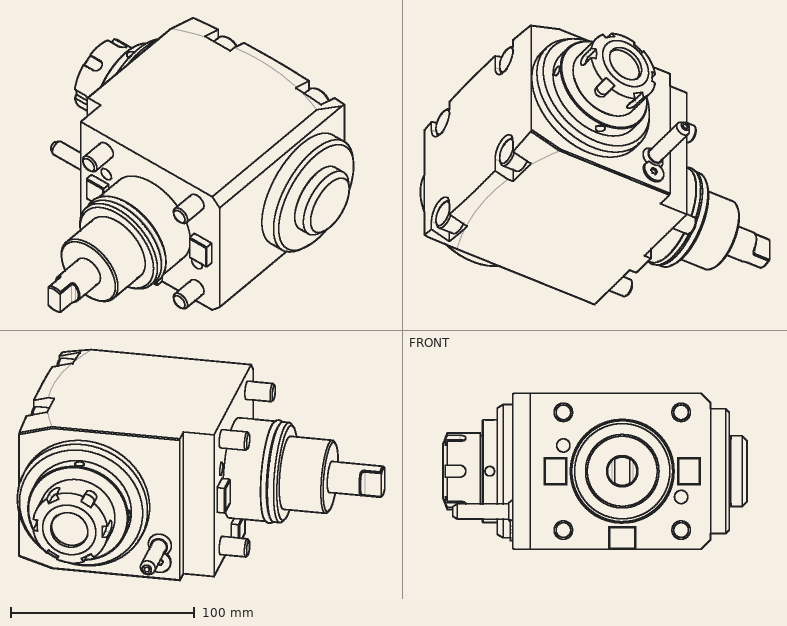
import cadquery as cq
import math


BLOCK_LEFT = -59.6
BLOCK_RIGHT = 48.0
BLOCK_DEPTH = 106.5
BLOCK_HEIGHT = 85.0
HALF_HEIGHT = BLOCK_HEIGHT / 2
STEP_LEFT = -50.0
STEP_DEPTH = 17.0
RIGHT_CHAMFER = 5.2
LEFT_CHAMFER = 0.7

CROWN_RADIUS = 420.0
CROWN_ANGLE = 16.5
CROWN_INSET = 7.0
CROWN_CENTRE_X = -7.0
CROWN_TOOL_LENGTH = 100.0
CROWN_TOOL_WALL = 40.0

SCREW_PITCH = 64.0
SCREW_DIAMETER = 10.0
SCREW_PROJECTION = 15.0
SCREW_HEAD_DIAMETER = 16.0
SCREW_HEAD_HEIGHT = 10.0
SCREW_CHAMFER = 1.0
NOTCH_WIDTH = 18.0
NOTCH_DEPTH = 11.6

KEY_WIDTH = 14.8
KEY_LENGTH = 12.2
KEY_PROJECTION = 4.6
KEY_CHAMFER = 0.5
SIDE_KEY_INNER = 30.2
PIN_HOLE_DIAMETER = 7.2
PIN_HOLE_DEPTH = 10.0
PIN_HOLE_X = 32.0
PIN_HOLE_Z = 14.0
DRILL_POINT_ANGLE = 118.0

SHANK_RADIUS = 27.4
ORING_CENTRE = 22.2
ORING_SECTION_RADIUS = 1.4
ORING_OUTER_RADIUS = 28.2
GROOVE_START = ORING_CENTRE - ORING_SECTION_RADIUS
GROOVE_END = 24.7
GROOVE_RADIUS = 25.2
COLLAR_END = 29.6
COLLAR_CHAMFER = 1.5
NOSE_RADIUS = 20.0
NOSE_END = 53.8
NOSE_CHAMFER = 1.0
DRIVE_RADIUS = 8.5
DRIVE_END = 83.0
DRIVE_CHAMFER = 0.8
TANG_START = 72.0
TANG_THICKNESS = 8.4
TANG_ROOT_FILLET = 1.6
TANG_CHAMFER = 0.5

SPINDLE_Y = 70.0
FLANGE_RADIUS = 36.3
FLANGE_LEFT = -68.0
FLANGE_CHAMFER_LENGTH = 3.3
FLANGE_CHAMFER_HEIGHT = 2.0
RING_RADIUS = 28.0
RING_LEFT = -76.0
RING_CHAMFER = 0.5
RING_HOLE_X = -72.0
RING_HOLE_DIAMETER = 5.2
RING_HOLE_DEPTH = 3.5
RING_HOLE_COUNT = 4
CAP_RADIUS = 34.0
CAP_RIGHT = 58.2
CAP_CHAMFER = 2.0
KNOB_RADIUS = 19.3
KNOB_LEFT = 59.0
KNOB_RIGHT = 67.9
KNOB_CHAMFER = 2.8
KNOB_NECK_RADIUS = 17.5

NUT_RADIUS = 20.9
NUT_LEFT = -97.5
NUT_RIGHT = -77.1
NUT_NECK_RADIUS = 19.5
NUT_CONE_LENGTH = 2.4
NUT_FACE_RADIUS = 14.8
NUT_BORE_RADIUS = 10.3
NUT_BORE_DEPTH = 2.5
NUT_SLOT_COUNT = 6
NUT_SLOT_WIDTH = 6.4
NUT_SLOT_END = -85.0
NUT_SLOT_FLOOR = 18.0

NOZZLE_Y = 28.0
NOZZLE_Z = -21.9
NOZZLE_RADIUS = 4.1
NOZZLE_TIP = -92.2
NOZZLE_TIP_CHAMFER = 2.4
NOZZLE_TIP_RADIUS = 2.6
NOZZLE_BORE_RADIUS = 1.4
NOZZLE_BORE_DEPTH = 10.0
NOZZLE_COLLAR_RADIUS = 6.4
NOZZLE_COLLAR_LENGTH = 2.2
NOZZLE_COLLAR_TIP_RADIUS = 4.6
PLUG_Z = -31.7
PLUG_RADIUS = 6.2
PLUG_PROJECTION = 1.2
PLUG_HEX = 4.0
PLUG_HEX_DEPTH = 1.0


def turned_about_x(profile, y=0.0, z=0.0):
    """Revolve (x, radius) points about the line parallel to X through (y, z)."""
    outline = cq.Workplane("XY").polyline(profile).close()
    return outline.revolve(360, (0, 0, 0), (1, 0, 0)).translate((0, y, z))


def turned_about_shank(profile):
    """Revolve (radius, distance in front of the mounting face) points about the shank axis."""
    points = [(radius, -distance) for radius, distance in profile]
    return cq.Workplane("XY").polyline(points).close().revolve(360, (0, 0, 0), (0, 1, 0))


def drilled_hole(start, direction, diameter, depth):
    """Blind hole tool with a conical drill point."""
    radius = diameter / 2
    point_length = radius / math.tan(math.radians(DRILL_POINT_ANGLE / 2))
    plane = cq.Plane(origin=(0, 0, 0), xDir=(1, 0, 0), normal=(0, -1, 0))
    profile = [(0, 0), (radius, 0), (radius, -depth), (0, -depth - point_length)]
    tool = cq.Workplane(plane).polyline(profile).close().revolve(360, (0, 0, 0), (0, 1, 0))
    frame = cq.Plane(origin=start, normal=tuple(-part for part in direction))
    return cq.Workplane(obj=tool.val().moved(cq.Location(frame)))


def block():
    """Stepped block with bevelled right edges."""
    outline = [
        (STEP_LEFT, 0),
        (BLOCK_RIGHT, 0),
        (BLOCK_RIGHT, BLOCK_DEPTH),
        (BLOCK_LEFT, BLOCK_DEPTH),
        (BLOCK_LEFT, STEP_DEPTH),
        (STEP_LEFT, STEP_DEPTH),
    ]
    body = cq.Workplane("XY").polyline(outline).close().extrude(HALF_HEIGHT, both=True)
    return body.faces(">X").edges("|Y").chamfer(RIGHT_CHAMFER)


def crown_cutter():
    """Tube whose tilted inner wall cuts the crowned bevel on the rear top edge."""
    slope = math.radians(CROWN_ANGLE)
    axis = (0, math.cos(slope), -math.sin(slope))
    up = (0, math.sin(slope), math.cos(slope))
    apex = (CROWN_CENTRE_X, BLOCK_DEPTH - CROWN_INSET, HALF_HEIGHT)
    centre = tuple(a - CROWN_RADIUS * u for a, u in zip(apex, up))
    plane = cq.Plane(origin=centre, xDir=(1, 0, 0), normal=axis)
    tube = cq.Workplane(plane).circle(CROWN_RADIUS + CROWN_TOOL_WALL).circle(CROWN_RADIUS)
    tube = tube.extrude(CROWN_TOOL_LENGTH / 2, both=True)
    upper_half = cq.Workplane("XY").box(
        2 * BLOCK_DEPTH, 2 * BLOCK_DEPTH, BLOCK_HEIGHT, centered=(True, True, False)
    )
    return tube.intersect(upper_half)


def cut_crowns(body):
    """Crown both rear edges, then bevel the top and bottom edges of the left face."""
    upper = crown_cutter()
    body = body.cut(upper).cut(upper.mirror("XY"))
    return body.faces("<X").edges("not |Z").chamfer(LEFT_CHAMFER)


def add_mounting_screws(body):
    """Four cap screws: heads in open rear notches, threaded ends past the mounting face."""
    seat_y = BLOCK_DEPTH - NOTCH_DEPTH
    half_pitch = SCREW_PITCH / 2
    for x in (-half_pitch, half_pitch):
        for side in (-1, 1):
            z = side * half_pitch
            back = cq.Workplane("XZ", origin=(x, seat_y, z))
            round_end = back.circle(NOTCH_WIDTH / 2).extrude(-NOTCH_DEPTH)
            open_end = back.center(0, side * NOTCH_WIDTH / 2).rect(NOTCH_WIDTH, NOTCH_WIDTH)
            open_end = open_end.extrude(-NOTCH_DEPTH)
            head = back.circle(SCREW_HEAD_DIAMETER / 2).extrude(-SCREW_HEAD_HEIGHT)
            head = head.faces(">Y").chamfer(SCREW_CHAMFER)
            front = cq.Workplane("XZ", origin=(x, 0, z))
            stem = front.circle(SCREW_DIAMETER / 2).extrude(SCREW_PROJECTION)
            stem = stem.faces("<Y").chamfer(SCREW_CHAMFER)
            body = body.cut(round_end).cut(open_end)
            body = body.union(head).union(stem)
    return body


def add_keys(body):
    """Three locating keys: left, right and at the bottom edge."""
    side_x = SIDE_KEY_INNER + KEY_LENGTH / 2
    bottom_z = KEY_LENGTH / 2 - HALF_HEIGHT
    keys = [
        (-side_x, 0, KEY_LENGTH, KEY_WIDTH),
        (side_x, 0, KEY_LENGTH, KEY_WIDTH),
        (0, bottom_z, KEY_WIDTH, KEY_LENGTH),
    ]
    for x, z, length_x, length_z in keys:
        key = cq.Workplane("XZ", origin=(x, 0, z)).rect(length_x, length_z).extrude(KEY_PROJECTION)
        body = body.union(key.faces("<Y").chamfer(KEY_CHAMFER))
    return body


def cut_pin_holes(body):
    """A drilled hole upper left and a flat-bottomed hole diagonally opposite."""
    drilled = drilled_hole((-PIN_HOLE_X, 0, PIN_HOLE_Z), (0, 1, 0), PIN_HOLE_DIAMETER, PIN_HOLE_DEPTH)
    flat = cq.Workplane("XZ", origin=(PIN_HOLE_X, 0, -PIN_HOLE_Z))
    return body.cut(drilled).cut(flat.circle(PIN_HOLE_DIAMETER / 2).extrude(-PIN_HOLE_DEPTH))


def shank():
    """Stepped shank with a seal ring in its groove and a flat drive tang at the tip."""
    body = turned_about_shank([
        (0, 0),
        (SHANK_RADIUS, 0),
        (SHANK_RADIUS, GROOVE_START),
        (GROOVE_RADIUS, GROOVE_START),
        (GROOVE_RADIUS, GROOVE_END),
        (SHANK_RADIUS, GROOVE_END),
        (SHANK_RADIUS, COLLAR_END - COLLAR_CHAMFER),
        (SHANK_RADIUS - COLLAR_CHAMFER, COLLAR_END),
        (NOSE_RADIUS, COLLAR_END),
        (NOSE_RADIUS, NOSE_END - NOSE_CHAMFER),
        (NOSE_RADIUS - NOSE_CHAMFER, NOSE_END),
        (DRIVE_RADIUS, NOSE_END),
        (DRIVE_RADIUS, DRIVE_END - DRIVE_CHAMFER),
        (DRIVE_RADIUS - DRIVE_CHAMFER, DRIVE_END),
        (0, DRIVE_END),
    ])
    seal_side_radius = ORING_OUTER_RADIUS - ORING_SECTION_RADIUS
    seal_front = -ORING_CENTRE - ORING_SECTION_RADIUS
    seal_back = -ORING_CENTRE + ORING_SECTION_RADIUS
    seal_ring = (
        cq.Workplane("XY")
        .moveTo(GROOVE_RADIUS, seal_front)
        .lineTo(seal_side_radius, seal_front)
        .threePointArc((ORING_OUTER_RADIUS, -ORING_CENTRE), (seal_side_radius, seal_back))
        .lineTo(GROOVE_RADIUS, seal_back)
        .close()
        .revolve(360, (0, 0, 0), (0, 1, 0))
    )
    tang_length = DRIVE_END - TANG_START
    for side in (-1, 1):
        flat_x = side * (TANG_THICKNESS / 2 + DRIVE_RADIUS / 2)
        flat = cq.Workplane("XY").box(DRIVE_RADIUS, tang_length, 2 * DRIVE_RADIUS)
        root = flat.faces(">Y").edges("<X" if side > 0 else ">X")
        flat = root.fillet(TANG_ROOT_FILLET)
        body = body.cut(flat.translate((flat_x, -TANG_START - tang_length / 2, 0)))
    tang_region = cq.selectors.BoxSelector(
        (-DRIVE_RADIUS, -DRIVE_END, -DRIVE_RADIUS), (DRIVE_RADIUS, -TANG_START, DRIVE_RADIUS)
    )
    body = body.edges(tang_region).edges("|Y").chamfer(TANG_CHAMFER)
    return body.union(seal_ring)


def spindle_mount():
    """Flange and ring on the left, with the neck that carries the collet nut."""
    body = turned_about_x([
        (BLOCK_LEFT, 0),
        (BLOCK_LEFT, FLANGE_RADIUS),
        (FLANGE_LEFT + FLANGE_CHAMFER_LENGTH, FLANGE_RADIUS),
        (FLANGE_LEFT, FLANGE_RADIUS - FLANGE_CHAMFER_HEIGHT),
        (FLANGE_LEFT, RING_RADIUS),
        (RING_LEFT + RING_CHAMFER, RING_RADIUS),
        (RING_LEFT, RING_RADIUS - RING_CHAMFER),
        (RING_LEFT, NUT_NECK_RADIUS),
        (NUT_RIGHT, NUT_NECK_RADIUS),
        (NUT_RIGHT, 0),
    ], SPINDLE_Y)
    for index in range(RING_HOLE_COUNT):
        angle = 2 * math.pi * index / RING_HOLE_COUNT
        outward = (0, math.cos(angle), math.sin(angle))
        start = (RING_HOLE_X, SPINDLE_Y + RING_RADIUS * outward[1], RING_RADIUS * outward[2])
        inward = tuple(-part for part in outward)
        body = body.cut(drilled_hole(start, inward, RING_HOLE_DIAMETER, RING_HOLE_DEPTH))
    return body


def rear_cap():
    """Bearing cap and end knob on the right face."""
    return turned_about_x([
        (BLOCK_RIGHT, 0),
        (BLOCK_RIGHT, CAP_RADIUS),
        (CAP_RIGHT - CAP_CHAMFER, CAP_RADIUS),
        (CAP_RIGHT, CAP_RADIUS - CAP_CHAMFER),
        (CAP_RIGHT, KNOB_NECK_RADIUS),
        (KNOB_LEFT, KNOB_NECK_RADIUS),
        (KNOB_LEFT, KNOB_RADIUS),
        (KNOB_RIGHT - KNOB_CHAMFER, KNOB_RADIUS),
        (KNOB_RIGHT, KNOB_RADIUS - KNOB_CHAMFER),
        (KNOB_RIGHT, 0),
    ], SPINDLE_Y)


def coolant_nozzle():
    """Bored nozzle tube with a tapered collar at its root."""
    collar_left = BLOCK_LEFT - NOZZLE_COLLAR_LENGTH
    bore_end = NOZZLE_TIP + NOZZLE_BORE_DEPTH
    return turned_about_x([
        (BLOCK_LEFT, 0),
        (BLOCK_LEFT, NOZZLE_COLLAR_RADIUS),
        (collar_left, NOZZLE_COLLAR_TIP_RADIUS),
        (collar_left, NOZZLE_RADIUS),
        (NOZZLE_TIP + NOZZLE_TIP_CHAMFER, NOZZLE_RADIUS),
        (NOZZLE_TIP, NOZZLE_TIP_RADIUS),
        (NOZZLE_TIP, NOZZLE_BORE_RADIUS),
        (bore_end, NOZZLE_BORE_RADIUS),
        (bore_end, 0),
    ], NOZZLE_Y, NOZZLE_Z)


def plug():
    """Low round plug with a hexagon socket."""
    face = cq.Workplane("YZ", origin=(BLOCK_LEFT, NOZZLE_Y, PLUG_Z))
    body = face.circle(PLUG_RADIUS).extrude(-PLUG_PROJECTION)
    socket = body.faces("<X").workplane(centerOption="CenterOfBoundBox")
    return socket.polygon(6, PLUG_HEX).cutBlind(-PLUG_HEX_DEPTH)


def build_housing():
    body = cut_crowns(block())
    body = add_mounting_screws(body)
    body = add_keys(body)
    body = cut_pin_holes(body)
    for attachment in (shank(), spindle_mount(), rear_cap(), coolant_nozzle(), plug()):
        body = body.union(attachment)
    return body


def build_collet_nut():
    """Collet nut with a conical front, a shallow bore and wrench slots around the rim."""
    bore_end = NUT_LEFT + NUT_BORE_DEPTH
    body = turned_about_x([
        (NUT_RIGHT, 0),
        (NUT_RIGHT, NUT_RADIUS),
        (NUT_LEFT + NUT_CONE_LENGTH, NUT_RADIUS),
        (NUT_LEFT, NUT_FACE_RADIUS),
        (NUT_LEFT, NUT_BORE_RADIUS),
        (bore_end, NUT_BORE_RADIUS),
        (bore_end, 0),
    ])
    slot_length = 2 * (NUT_SLOT_END - NUT_LEFT)
    slot = (
        cq.Workplane("XZ", origin=(NUT_LEFT, -NUT_SLOT_FLOOR, 0))
        .slot2D(slot_length, NUT_SLOT_WIDTH)
        .extrude(NUT_RADIUS)
    )
    for index in range(NUT_SLOT_COUNT):
        body = body.cut(slot.rotate((0, 0, 0), (1, 0, 0), 360 * index / NUT_SLOT_COUNT))
    return body.translate((0, SPINDLE_Y, 0))


housing = build_housing()
collet_nut = build_collet_nut()
result = cq.Compound.makeCompound([housing.val(), collet_nut.val()])